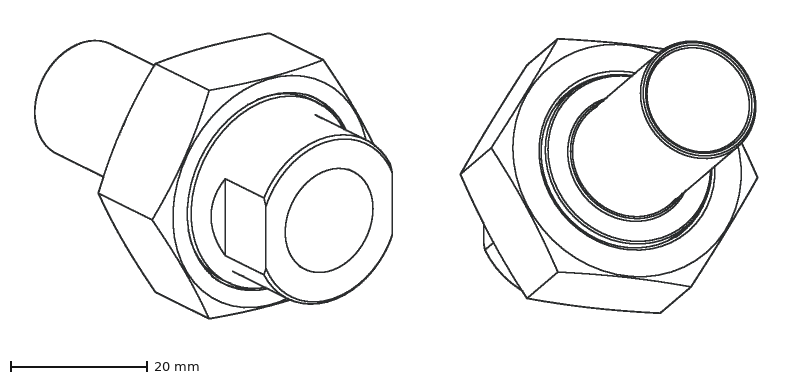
import cadquery as cq
import math

length = 61.0
left_end = -length / 2
right_end = length / 2
bore_radius = 16.0 / 2

tube_radius = 18.0 / 2
tube_chamfer = 0.3
bead_radius = 18.6 / 2
bead_foot_radius = 19.2 / 2
collar_radius = 26.0 / 2
collar_chamfer = 0.3
flange_radius = 30.4 / 2
bead_length = 0.35
collar_start = left_end + 30.0
bead_start = collar_start - bead_length

across_flats = 36.0
nut_length = 15.55
nut_start = left_end + 31.0
nut_end = nut_start + nut_length
lip_bore_radius = 26.5 / 2
lip_chamfer = 0.5
lip_length = 3.05
nut_chamfer_radius = 35.6 / 2
nut_chamfer_length = 1.1
flange_start = nut_start + lip_length
flange_length = 3.05
joint_face = flange_start + flange_length

shoulder_radius = 29.5 / 2
shoulder_overhang = 0.35
shoulder_length = 1.2
shoulder_end = nut_end + shoulder_overhang
spigot_radius = collar_radius
spigot_fillet = 0.9
end_chamfer = 0.5
flat_spacing = 23.0
flat_length = 10.05


def revolve_about_pipe(profile):
    """Revolve a closed X-radius profile about the X axis."""
    return profile.close().revolve(360, (0, 0, 0), (1, 0, 0))


def make_tailpiece():
    profile = (
        cq.Workplane("XY")
        .moveTo(left_end + tube_chamfer, bore_radius)
        .lineTo(left_end, bore_radius + tube_chamfer)
        .lineTo(left_end, tube_radius - tube_chamfer)
        .lineTo(left_end + tube_chamfer, tube_radius)
        .lineTo(bead_start, tube_radius)
        .lineTo(bead_start, bead_radius)
        .lineTo(collar_start, bead_foot_radius)
        .lineTo(collar_start, collar_radius - collar_chamfer)
        .lineTo(collar_start + collar_chamfer, collar_radius)
        .lineTo(flange_start, collar_radius)
        .lineTo(flange_start, flange_radius)
        .lineTo(joint_face, flange_radius)
        .lineTo(joint_face, bore_radius)
    )
    return revolve_about_pipe(profile)


def make_nut():
    corner_radius = across_flats / math.sqrt(3)
    hexagon = (
        cq.Workplane("YZ", origin=(nut_start, 0, 0))
        .polygon(6, 2 * corner_radius)
        .extrude(nut_length)
    )
    envelope = revolve_about_pipe(
        cq.Workplane("XY")
        .moveTo(nut_start, 0)
        .lineTo(nut_start, nut_chamfer_radius)
        .lineTo(nut_start + nut_chamfer_length, corner_radius)
        .lineTo(nut_end - nut_chamfer_length, corner_radius)
        .lineTo(nut_end, nut_chamfer_radius)
        .lineTo(nut_end, 0)
    )
    stepped_bore = revolve_about_pipe(
        cq.Workplane("XY")
        .moveTo(nut_start, 0)
        .lineTo(nut_start, lip_bore_radius + lip_chamfer)
        .lineTo(nut_start + lip_chamfer, lip_bore_radius)
        .lineTo(flange_start, lip_bore_radius)
        .lineTo(flange_start, flange_radius)
        .lineTo(nut_end, flange_radius)
        .lineTo(nut_end, 0)
    )
    return hexagon.intersect(envelope).cut(stepped_bore)


def make_wrench_flat_cutter():
    """Cutter for the +Y flat, with a 45-degree run-out toward the nut."""
    flat_y = flat_spacing / 2
    cut_depth = spigot_radius - flat_y
    flat_start = right_end - flat_length
    return (
        cq.Workplane("XY")
        .moveTo(flat_start, flat_y)
        .lineTo(right_end, flat_y)
        .lineTo(right_end, spigot_radius)
        .lineTo(flat_start - cut_depth, spigot_radius)
        .close()
        .extrude(spigot_radius, both=True)
    )


def make_adapter():
    fillet_offset = spigot_fillet * (1 - math.sqrt(0.5))
    profile = (
        cq.Workplane("XY")
        .moveTo(joint_face, bore_radius)
        .lineTo(joint_face, flange_radius)
        .lineTo(shoulder_end - shoulder_length, flange_radius)
        .lineTo(shoulder_end - shoulder_length, shoulder_radius)
        .lineTo(shoulder_end, shoulder_radius)
        .lineTo(shoulder_end, spigot_radius + spigot_fillet)
        .threePointArc(
            (shoulder_end + fillet_offset, spigot_radius + fillet_offset),
            (shoulder_end + spigot_fillet, spigot_radius),
        )
        .lineTo(right_end - end_chamfer, spigot_radius)
        .lineTo(right_end, spigot_radius - end_chamfer)
        .lineTo(right_end, bore_radius)
    )
    flat_cutter = make_wrench_flat_cutter()
    body = revolve_about_pipe(profile)
    return body.cut(flat_cutter).cut(flat_cutter.mirror("XZ"))


tailpiece = make_tailpiece()
nut = make_nut()
adapter = make_adapter()

result = cq.Compound.makeCompound([tailpiece.val(), nut.val(), adapter.val()])